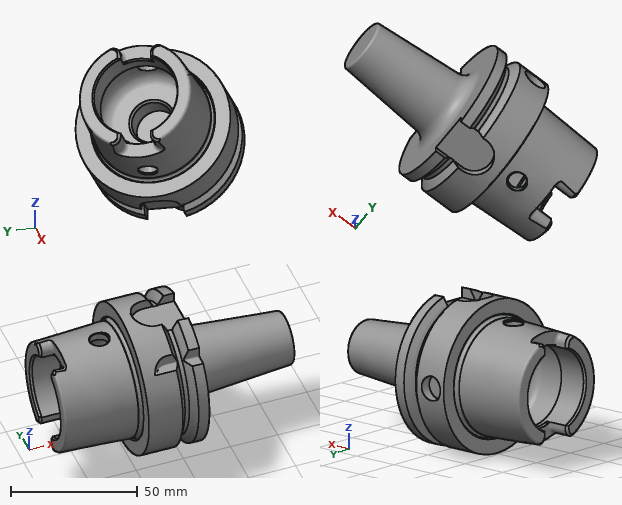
import cadquery as cq
import math

total_length = 102.0
cutter_overrun = 1.0

shank_length = 32.1
taper_end = 29.8
shank_mouth_radius = 22.6
shank_large_radius = 24.1
shank_mouth_fillet = 1.0

relief_start = 30.5
relief_radius = 23.9
relief_depth = 0.6
relief_fillet = 1.0
relief_rim_radius = 25.4

flange_radius = 31.5
flange_end = 57.8
groove_start = 46.5
groove_end = 53.2
groove_root_radius = 27.4
groove_step_radius = 28.9
groove_step_inset = 1.7
groove_root_inset = 2.4

nose_angle = math.radians(4.5)
nose_end_radius = 11.0
nose_end_fillet = 1.0
neck_fillet = 5.9

bore_mouth_radius = 17.4
bore_radius = 16.9
bore_mouth_chamfer = 1.0
bore_step = 12.9
undercut_radius = 20.4
bore_depth = 30.6
bore_floor_fillet = 4.7
thread_radius = 8.5
thread_chamfer = 0.9
thread_depth = 10.2

drive_slot_half_width = 6.1
drive_slot_depth_top = 5.9
drive_slot_depth_bottom = 9.8
drive_slot_flat = 20.7
drive_slot_corner = 3.3
drive_slot_floor_fillet = 1.4
drive_slot_mouth_chamfer = 1.0

cross_hole_x = 23.0
cross_hole_radius = 3.8
cross_hole_rim_radius = 4.3

gripper_half_width = 8.0
gripper_start = 36.8
gripper_floor = 26.3
notch_start = 36.8
notch_floor = 19.9
notch_cutter_radius = 7.1
notch_corner_fillet = 0.4
chip_x = 38.9
chip_radius = 5.0
chip_depth = 4.6

MID_ARC_SAG = 1 - math.sqrt(0.5)


def revolve_about_x(profile):
    """Turn a closed profile, drawn as (x, radius), about the X axis."""
    return profile.close().revolve(360, (0, 0, 0), (1, 0, 0))


def make_body():
    """Outer turned shape: shank, relief, grooved flange, neck and nose."""
    nose_slope = math.tan(nose_angle)
    arc_center_x = flange_end + neck_fillet
    cone_radius = nose_end_radius + (total_length - arc_center_x) * nose_slope
    arc_center_r = cone_radius + neck_fillet / math.cos(nose_angle)

    def neck_point(angle):
        return (
            arc_center_x - neck_fillet * math.sin(angle),
            arc_center_r - neck_fillet * math.cos(angle),
        )

    mid_angle = (nose_angle + math.pi / 2) / 2
    relief_bottom = shank_length + relief_depth
    fillet_sag = relief_fillet * MID_ARC_SAG
    profile = (
        cq.Workplane("XY")
        .moveTo(0, 0)
        .lineTo(0, shank_mouth_radius)
        .lineTo(taper_end, shank_large_radius)
        .lineTo(relief_start, shank_large_radius)
        .lineTo(relief_start + shank_large_radius - relief_radius, relief_radius)
        .lineTo(relief_bottom - relief_fillet, relief_radius)
        .threePointArc(
            (relief_bottom - fillet_sag, relief_radius + fillet_sag),
            (relief_bottom, relief_radius + relief_fillet),
        )
        .lineTo(shank_length, relief_rim_radius)
        .lineTo(shank_length, flange_radius)
        .lineTo(groove_start, flange_radius)
        .lineTo(groove_start + groove_step_inset, groove_step_radius)
        .lineTo(groove_start + groove_root_inset, groove_root_radius)
        .lineTo(groove_end - groove_root_inset, groove_root_radius)
        .lineTo(groove_end - groove_step_inset, groove_step_radius)
        .lineTo(groove_end, flange_radius)
        .lineTo(flange_end, flange_radius)
        .lineTo(*neck_point(math.pi / 2))
        .threePointArc(neck_point(mid_angle), neck_point(nose_angle))
        .lineTo(total_length, nose_end_radius)
        .lineTo(total_length, 0)
    )
    body = revolve_about_x(profile)
    body = body.faces(">X").edges().fillet(nose_end_fillet)
    return body.faces("<X").edges().fillet(shank_mouth_fillet)


def make_bore():
    """Stepped blind bore with an undercut and a coolant thread hole."""
    fillet_sag = bore_floor_fillet * MID_ARC_SAG
    profile = (
        cq.Workplane("XY")
        .moveTo(0, 0)
        .lineTo(0, bore_mouth_radius)
        .lineTo(bore_mouth_chamfer, bore_radius)
        .lineTo(bore_step, bore_radius)
        .lineTo(bore_step, undercut_radius)
        .lineTo(bore_depth - bore_floor_fillet, undercut_radius)
        .threePointArc(
            (bore_depth - fillet_sag, undercut_radius - fillet_sag),
            (bore_depth, undercut_radius - bore_floor_fillet),
        )
        .lineTo(bore_depth, thread_radius + thread_chamfer)
        .lineTo(bore_depth + thread_chamfer, thread_radius)
        .lineTo(bore_depth + thread_depth, thread_radius)
        .lineTo(bore_depth + thread_depth, 0)
    )
    return revolve_about_x(profile)


def drive_slot_outline(grow):
    """Slot cross-section in (y, z), moved outwards by grow."""
    half_width = drive_slot_half_width + grow
    flat = drive_slot_flat - grow
    corner = drive_slot_corner - grow
    corner_sag = corner * MID_ARC_SAG
    reach = shank_large_radius
    top = reach + cutter_overrun
    return (
        cq.Workplane("YZ")
        .moveTo(-half_width, 0)
        .lineTo(half_width, 0)
        .lineTo(half_width, flat - corner)
        .threePointArc(
            (half_width + corner_sag, flat - corner_sag),
            (half_width + corner, flat),
        )
        .lineTo(reach, flat)
        .lineTo(reach, top)
        .lineTo(-reach, top)
        .lineTo(-reach, flat)
        .lineTo(-half_width - corner, flat)
        .threePointArc(
            (-half_width - corner_sag, flat - corner_sag),
            (-half_width, flat - corner),
        )
        .close()
    )


def make_slot_floor_chamfer(depth):
    """Chamfer on the bore edge of the drive slot floor, the same as on the bore mouth."""
    cone = revolve_about_x(
        cq.Workplane("XY")
        .moveTo(depth, 0)
        .lineTo(depth, bore_mouth_radius)
        .lineTo(depth + bore_mouth_chamfer, bore_radius)
        .lineTo(depth + bore_mouth_chamfer, 0)
    )
    slot_band = (
        cq.Workplane("YZ", origin=(depth, 0, bore_mouth_radius / 2))
        .rect(2 * drive_slot_half_width, bore_mouth_radius)
        .extrude(bore_mouth_chamfer)
    )
    return cone.intersect(slot_band)


def make_drive_slot(depth):
    """Drive slot on the +Z side with a filleted floor and a bevelled mouth."""
    bevel = drive_slot_mouth_chamfer
    slot = drive_slot_outline(0).extrude(depth)
    slot = slot.faces(">X").edges("not(>Z or <Z or >Y or <Y)").fillet(drive_slot_floor_fillet)
    mouth_wire = drive_slot_outline(bevel).wires().val()
    inner_wire = drive_slot_outline(0).wires().val().translate(cq.Vector(bevel, 0, 0))
    mouth = cq.Solid.makeLoft([mouth_wire, inner_wire], True)
    return slot.union(cq.Workplane(mouth)).union(make_slot_floor_chamfer(depth))


def make_cross_hole():
    """Hole along Z through the shank, countersunk on both sides."""
    rim = cross_hole_rim_radius - cross_hole_radius
    surface = shank_large_radius - (taper_end - cross_hole_x) * (
        (shank_large_radius - shank_mouth_radius) / taper_end
    )
    half = (
        cq.Workplane("XZ")
        .moveTo(0, 0)
        .lineTo(cross_hole_radius, 0)
        .lineTo(cross_hole_radius, surface - rim)
        .lineTo(cross_hole_rim_radius, surface)
        .lineTo(cross_hole_rim_radius, surface + cutter_overrun)
        .lineTo(0, surface + cutter_overrun)
        .close()
        .revolve(360, (0, 0, 0), (0, 1, 0))
    )
    return half.union(half.mirror("XY")).translate((cross_hole_x, 0, 0))


def make_round_ended_slot(start, radius, floor, y_center):
    """Milled slot along X, open towards +X, with its floor at height floor."""
    height = flange_radius + cutter_overrun - floor
    end_x = start + radius
    length = flange_end + cutter_overrun - end_x
    round_end = cq.Workplane("XY", origin=(end_x, y_center, floor)).circle(radius).extrude(height)
    run = (
        cq.Workplane("XY", origin=(end_x + length / 2, y_center, floor))
        .rect(length, 2 * radius)
        .extrude(height)
    )
    return round_end.union(run)


def make_chip_pocket():
    """Blind round pocket in the +Y side of the flange."""
    return (
        cq.Workplane("XZ", origin=(chip_x, flange_radius + cutter_overrun, 0))
        .circle(chip_radius)
        .extrude(chip_depth + cutter_overrun)
    )


def make_index_notch():
    """Corner notch between the -Y and +Z sides, with a small fillet around its floor."""
    notch = make_round_ended_slot(
        notch_start, notch_cutter_radius, notch_floor, -notch_floor - notch_cutter_radius
    )
    return notch.faces("<Z").edges().fillet(notch_corner_fillet)


gripper_slot = make_round_ended_slot(gripper_start, gripper_half_width, gripper_floor, 0)

result = (
    make_body()
    .cut(make_bore())
    .cut(make_drive_slot(drive_slot_depth_top))
    .cut(make_drive_slot(drive_slot_depth_bottom).mirror("XY"))
    .cut(make_cross_hole())
    .cut(gripper_slot)
    .cut(gripper_slot.mirror("XY"))
    .cut(make_index_notch())
    .cut(make_chip_pocket())
)